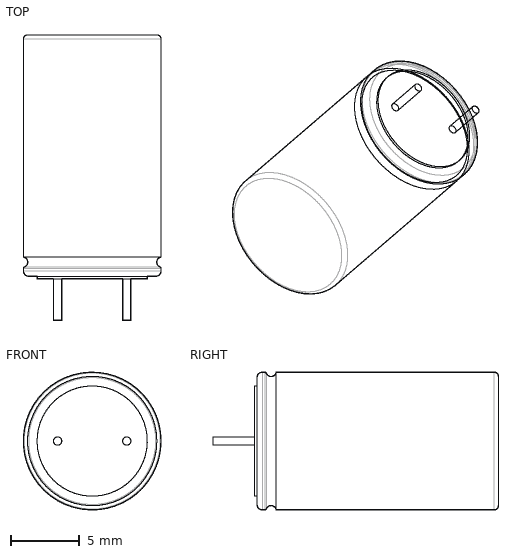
import cadquery as cq
import math

total_length = 20.7
lead_length = 3.0
lead_diameter = 0.6
lead_pitch = 5.0
can_diameter = 10.0
seal_radius = 4.0
seal_height = 0.19
top_round = 0.31
lip_round = 0.4
lip_flat = 0.19
groove_depth = 0.31
groove_root_radius = 0.37
groove_edge_round = 0.1

can_radius = can_diameter / 2
can_top = total_length - lead_length
can_bottom = seal_height
top_edge_y = can_top - top_round
lip_start = can_bottom + lip_round
lip_end = lip_start + lip_flat

root_center_radius = can_radius - groove_depth + groove_root_radius
edge_center_radius = can_radius - groove_edge_round
radial_gap = root_center_radius - edge_center_radius
center_distance = groove_root_radius + groove_edge_round
axial_gap = math.sqrt(center_distance ** 2 - radial_gap ** 2)
groove_y = lip_end + axial_gap

root_share = groove_root_radius / center_distance
blend_point = (
    root_center_radius - root_share * radial_gap,
    groove_y - root_share * axial_gap,
)
groove_bottom = (can_radius - groove_depth, groove_y)
wall_offset = root_center_radius - can_radius
groove_end = groove_y + math.sqrt(groove_root_radius ** 2 - wall_offset ** 2)


def make_can():
    """Revolved can with a rounded top, a crimp groove and a rounded lip."""
    diagonal = math.sqrt(0.5)
    profile = (
        cq.Workplane("XY")
        .moveTo(0, can_bottom)
        .lineTo(can_radius - lip_round, can_bottom)
        .threePointArc(
            (can_radius - lip_round * (1 - diagonal), lip_start - lip_round * diagonal),
            (can_radius, lip_start),
        )
        .lineTo(can_radius, lip_end)
        .tangentArcPoint(blend_point, relative=False)
        .tangentArcPoint(groove_bottom, relative=False)
        .tangentArcPoint((can_radius, groove_end), relative=False)
        .lineTo(can_radius, top_edge_y)
        .tangentArcPoint((can_radius - top_round, can_top), relative=False)
        .lineTo(0, can_top)
        .close()
    )
    return profile.revolve(360, (0, 0, 0), (0, 1, 0))


def cylinder_along_y(x, radius, start_y, end_y):
    """Solid cylinder parallel to Y between two Y positions."""
    return cq.Workplane(cq.Solid.makeCylinder(
        radius, end_y - start_y, cq.Vector(x, start_y, 0), cq.Vector(0, 1, 0)
    ))


result = make_can().union(cylinder_along_y(0, seal_radius, 0, lip_start))
for side in (-1, 1):
    lead = cylinder_along_y(side * lead_pitch / 2, lead_diameter / 2, -lead_length, lip_start)
    result = result.union(lead)